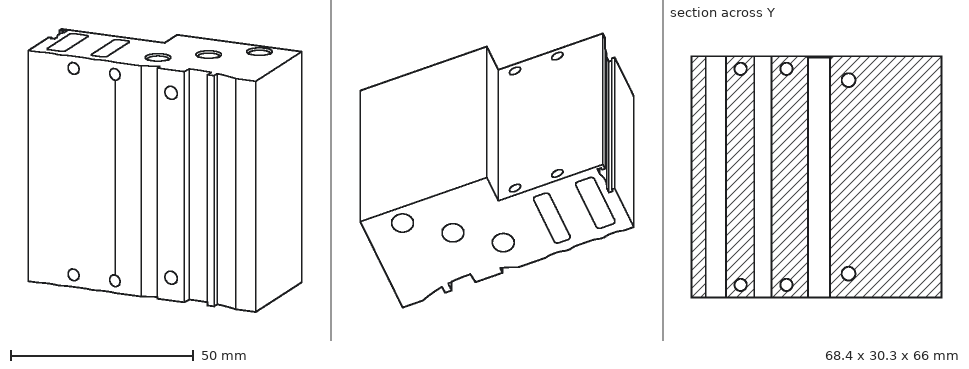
import cadquery as cq
import math

length = 68.4
height = 66.0
block_depth = 30.3
wing_depth = 22.1
step_x = 30.9

recess_start = 34.05
recess_end = 62.45
recess_depth = 2.95
pad_start = 38.85
pad_end = 46.85
pad_root_end = 47.1
rib_start = 53.9
rib_end = 55.9

groove_depth = 0.4
groove_side_run = 2.4
grooves = [(3.1, 5.75), (10.0, 9.0), (20.2, 5.95)]

channel_center_y = 17.1
channel_mouth = 6.9
channel_width = 8.2
channel_depth = 2.0
lip_thickness = 0.9
bulge_width = 4.8
bulge_height = 0.6

slot_start_y = 3.15
slot_end_y = 19.5
slot_corner_radius = 2.0 / 2
slots = [(4.0, 5.5), (17.25, 4.65)]

bore_count = 3
bore_diameter = 5.95
bore_mouth_diameter = 7.0
first_bore_x = 34.9
first_bore_y = 9.0
bore_pitch_x = 11.5
bore_pitch_y = 8.2

through_hole_diameter = 3.3
through_hole_xs = [13.5, 26.0]
through_hole_inset = 3.5
screw_hole_diameter = 3.7
screw_hole_x = 42.95
screw_hole_inset = 6.6
screw_hole_depth = 10.0
drill_point_angle = 118.0

recess_center_x = (recess_start + recess_end) / 2
recess_half_width = (recess_end - recess_start) / 2
recess_radius = (recess_half_width**2 + recess_depth**2) / (2 * recess_depth)


def recess_point(x):
    """Point on the recess arc at the given X."""
    rise = math.sqrt(recess_radius**2 - (x - recess_center_x) ** 2)
    return x, recess_depth - recess_radius + rise


def recess_pocket(start_bottom, start_top, end_top, end_bottom):
    """Part of the recess between two walls, which vanish at the ends of the arc."""
    middle = recess_point((start_top + end_top) / 2)
    outline = cq.Workplane("XY").moveTo(start_bottom, 0)
    if start_top != recess_start:
        outline = outline.lineTo(*recess_point(start_top))
    outline = outline.threePointArc(middle, recess_point(end_top))
    if end_top != recess_end:
        outline = outline.lineTo(end_bottom, 0)
    return outline.close().extrude(height)


def front_groove(start, width):
    """Shallow groove with a flat floor and sides that curve tangentially into it."""
    end = start + width
    floor_start = (start + groove_side_run, groove_depth)
    floor_end = (end - groove_side_run, groove_depth)
    radius = (groove_side_run**2 + groove_depth**2) / (2 * groove_depth)
    half_run = groove_side_run / 2
    mid_y = groove_depth - radius + math.sqrt(radius**2 - half_run**2)
    return (
        cq.Workplane("XY")
        .moveTo(start, 0)
        .threePointArc((start + half_run, mid_y), floor_start)
        .lineTo(*floor_end)
        .threePointArc((end - half_run, mid_y), (end, 0))
        .close()
        .extrude(height)
    )


def side_channel():
    """T-shaped channel whose floor carries a rounded bulge."""
    half_mouth = channel_mouth / 2
    half_width = channel_width / 2
    half_bulge = bulge_width / 2
    return (
        cq.Workplane("XY", origin=(0, channel_center_y, 0))
        .moveTo(0, -half_mouth)
        .lineTo(lip_thickness, -half_mouth)
        .lineTo(lip_thickness, -half_width)
        .lineTo(channel_depth, -half_width)
        .lineTo(channel_depth, -half_bulge)
        .threePointArc((channel_depth - bulge_height, 0), (channel_depth, half_bulge))
        .lineTo(channel_depth, half_width)
        .lineTo(lip_thickness, half_width)
        .lineTo(lip_thickness, half_mouth)
        .lineTo(0, half_mouth)
        .close()
        .extrude(height)
    )


def slot(start, width):
    """Rounded rectangular slot over the full height."""
    return (
        cq.Workplane("XY")
        .box(width, slot_end_y - slot_start_y, height, centered=False)
        .edges("|Z")
        .fillet(slot_corner_radius)
        .translate((start, slot_start_y, 0))
    )


def bore(x, y):
    """Full-height bore with a 45 degree chamfer at the top."""
    bore_radius = bore_diameter / 2
    mouth_radius = bore_mouth_diameter / 2
    chamfer = mouth_radius - bore_radius
    return (
        cq.Workplane("XZ")
        .polyline([
            (0, 0),
            (bore_radius, 0),
            (bore_radius, height - chamfer),
            (mouth_radius, height),
            (0, height),
        ])
        .close()
        .revolve(360, (0, 0, 0), (0, 1, 0))
        .translate((x, y, 0))
    )


def through_hole(x, z):
    """Plain hole from the front face to the back of the wing."""
    radius = through_hole_diameter / 2
    return cq.Workplane("XZ", origin=(x, 0, z)).circle(radius).extrude(-wing_depth)


def screw_hole(x, z):
    """Blind hole from the front face, ending in a drill point."""
    radius = screw_hole_diameter / 2
    tip = screw_hole_depth + radius / math.tan(math.radians(drill_point_angle / 2))
    return (
        cq.Workplane("XY")
        .polyline([(0, 0), (radius, 0), (radius, screw_hole_depth), (0, tip)])
        .close()
        .revolve(360, (0, 0, 0), (0, 1, 0))
        .translate((x, 0, z))
    )


result = (
    cq.Workplane("XY")
    .polyline([
        (0, 0),
        (length, 0),
        (length, block_depth),
        (step_x, block_depth),
        (step_x, wing_depth),
        (0, wing_depth),
    ])
    .close()
    .extrude(height)
)

result = result.cut(recess_pocket(recess_start, recess_start, pad_start, pad_start))
result = result.cut(recess_pocket(pad_end, pad_root_end, rib_start, rib_start))
result = result.cut(recess_pocket(rib_end, rib_end, recess_end, recess_end))
for groove_start, groove_width in grooves:
    result = result.cut(front_groove(groove_start, groove_width))
result = result.cut(side_channel())

for slot_start, slot_width in slots:
    result = result.cut(slot(slot_start, slot_width))
for index in range(bore_count):
    bore_x = first_bore_x + index * bore_pitch_x
    bore_y = first_bore_y + index * bore_pitch_y
    result = result.cut(bore(bore_x, bore_y))

for hole_z in (through_hole_inset, height - through_hole_inset):
    for hole_x in through_hole_xs:
        result = result.cut(through_hole(hole_x, hole_z))
for hole_z in (screw_hole_inset, height - screw_hole_inset):
    result = result.cut(screw_hole(screw_hole_x, hole_z))